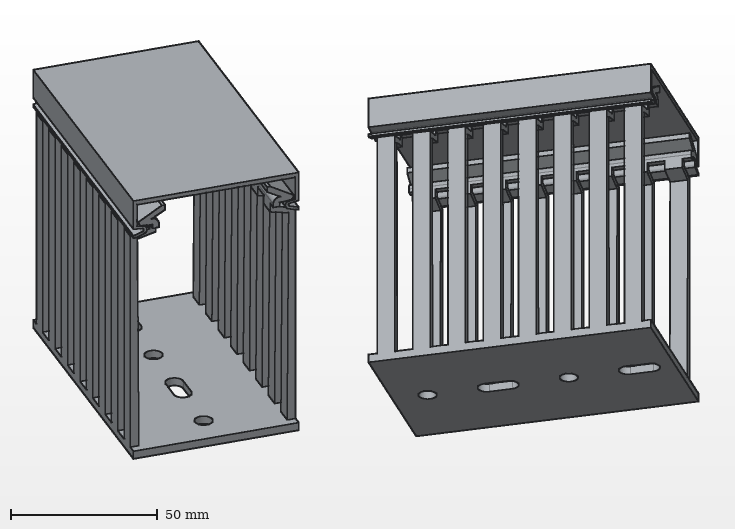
import cadquery as cq
import math

LENGTH = 100.0
WIDTH = 60.0
HEIGHT = 100.0

BASE_THICKNESS = 3.0
WALL_THICKNESS = 2.6
WALL_FOOT_THICKNESS = 3.1
SHOULDER_OUTER_Z = 84.8
SHOULDER_INNER_Z = 83.2
SHOULDER_RISE = 1.6
NECK_OUTER_INSET = 7.0
NECK_THICKNESS = 2.3
NECK_INNER_INSET = NECK_OUTER_INSET + NECK_THICKNESS
CATCH_INNER_Z = 89.5
CATCH_OUTER_Z = 90.0
CATCH_OUTER_INSET = 2.4
NOSE_INSET = 1.8
NOSE_Z = 91.5
ARM_ROOT_INSET = 6.6
ARM_ROOT_Z = CATCH_INNER_Z + NECK_THICKNESS
ARM_TIP_INSET = 11.5
ARM_TIP_BOTTOM_Z = 94.5
ARM_TIP_TOP_Z = 96.4
ARM_TIP_FLAT = 1.2

FINGER_COUNT = 8
FINGER_PITCH = LENGTH / FINGER_COUNT
FINGER_WIDTH = FINGER_PITCH / 2
SLOT_TOP_Z = 88.1

HOLE_DIAMETER = 6.3
OBLONG_LENGTH = 14.4
HOLE_PITCH = LENGTH / 4

COVER_TOP_THICKNESS = 1.7
SKIRT_THICKNESS = 1.3
SKIRT_BOTTOM_Z = 89.1
SKIRT_INNER_BOTTOM_Z = 89.9
HOOK_MID_Z = 88.1
GROOVE_DEPTH = 3.7
HOOK_DEPTH = 4.9
BEND_START = 0.6
GROOVE_HALF_OPENING = 0.6
HOOK_HALF_HEIGHT = 1.3
LIP_TOP_Z = 86.5
LIP_BOTTOM_Z = 85.6
LIP_EDGE_WIDTH = 0.8


def start_profile(inset, z):
    """Start a cross-section outline on the YZ plane, measured from the outer side at Y = 0."""
    return cq.Workplane("YZ").moveTo(inset, z)


def both_sides(half_profile):
    """Extrude the front half section over the length and add its mirror image at the back."""
    half = half_profile.close().extrude(LENGTH)
    return half.union(half.mirror("XZ", (0, WIDTH / 2, 0))).clean()


def duct_section():
    bend_offset = NECK_THICKNESS * math.sqrt(0.5)
    return (
        start_profile(WIDTH / 2, 0)
        .lineTo(0, 0)
        .lineTo(0, SHOULDER_OUTER_Z)
        .lineTo(NECK_OUTER_INSET, SHOULDER_OUTER_Z + SHOULDER_RISE)
        .lineTo(NECK_OUTER_INSET, CATCH_INNER_Z)
        .lineTo(CATCH_OUTER_INSET, CATCH_OUTER_Z)
        .lineTo(NOSE_INSET, NOSE_Z)
        .lineTo(ARM_TIP_INSET - ARM_TIP_FLAT, ARM_TIP_TOP_Z)
        .lineTo(ARM_TIP_INSET, ARM_TIP_TOP_Z)
        .lineTo(ARM_TIP_INSET, ARM_TIP_BOTTOM_Z)
        .lineTo(ARM_ROOT_INSET, ARM_ROOT_Z)
        .lineTo(NECK_OUTER_INSET, ARM_ROOT_Z)
        .threePointArc(
            (NECK_OUTER_INSET + bend_offset, CATCH_INNER_Z + bend_offset),
            (NECK_INNER_INSET, CATCH_INNER_Z),
        )
        .lineTo(NECK_INNER_INSET, SHOULDER_INNER_Z + SHOULDER_RISE)
        .lineTo(WALL_THICKNESS, SHOULDER_INNER_Z)
        .lineTo(WALL_FOOT_THICKNESS, BASE_THICKNESS)
        .lineTo(WIDTH / 2, BASE_THICKNESS)
    )


def wall_slots():
    """Full-width cutters for the gaps between fingers; the two at the ends are half gaps."""
    gap = FINGER_PITCH - FINGER_WIDTH
    slot_height = SLOT_TOP_Z - BASE_THICKNESS
    return (
        cq.Workplane("XY", origin=(LENGTH / 2, WIDTH / 2, BASE_THICKNESS))
        .rarray(FINGER_PITCH, 1, FINGER_COUNT + 1, 1)
        .rect(gap, WIDTH)
        .extrude(slot_height)
    )


def mounting_holes():
    """Cutters that alternate between oblong and round holes along the base."""
    plane = cq.Workplane("XY", origin=(0, WIDTH / 2, 0))
    first = HOLE_PITCH / 2
    oblong_places = [(first, 0), (first + 2 * HOLE_PITCH, 0)]
    round_places = [(x + HOLE_PITCH, y) for x, y in oblong_places]
    oblong = plane.pushPoints(oblong_places).slot2D(OBLONG_LENGTH, HOLE_DIAMETER).extrude(BASE_THICKNESS)
    rounds = plane.pushPoints(round_places).circle(HOLE_DIAMETER / 2).extrude(BASE_THICKNESS)
    return oblong.union(rounds)


def make_duct():
    return both_sides(duct_section()).cut(wall_slots()).cut(mounting_holes())


def cover_section():
    return (
        start_profile(WIDTH / 2, HEIGHT)
        .lineTo(0, HEIGHT)
        .lineTo(0, SKIRT_BOTTOM_Z)
        .lineTo(GROOVE_DEPTH - BEND_START, HOOK_MID_Z + GROOVE_HALF_OPENING)
        .threePointArc(
            (GROOVE_DEPTH, HOOK_MID_Z),
            (GROOVE_DEPTH - BEND_START, HOOK_MID_Z - GROOVE_HALF_OPENING),
        )
        .lineTo(0, LIP_TOP_Z)
        .lineTo(0, LIP_BOTTOM_Z)
        .lineTo(LIP_EDGE_WIDTH, LIP_BOTTOM_Z)
        .lineTo(HOOK_DEPTH - BEND_START, HOOK_MID_Z - HOOK_HALF_HEIGHT)
        .threePointArc(
            (HOOK_DEPTH, HOOK_MID_Z),
            (HOOK_DEPTH - BEND_START, HOOK_MID_Z + HOOK_HALF_HEIGHT),
        )
        .lineTo(SKIRT_THICKNESS, SKIRT_INNER_BOTTOM_Z)
        .lineTo(SKIRT_THICKNESS, HEIGHT - COVER_TOP_THICKNESS)
        .lineTo(WIDTH / 2, HEIGHT - COVER_TOP_THICKNESS)
    )


def make_cover():
    return both_sides(cover_section())


duct = make_duct()
cover = make_cover()

result = cq.Compound.makeCompound([duct.solids().val(), cover.solids().val()])